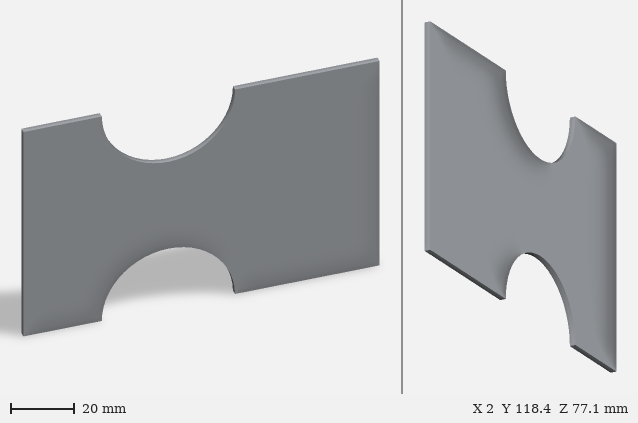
import cadquery as cq

thickness = 2.0
length = 118.4
end_height = 76.9

end_step = 0.2

notch_radius = 22.1
notch_center_y = -11.0
notch_center_z = end_height / 2


def end_block(y_start, y_end, center_z):
    """Rectangular plate section between two Y positions."""
    return cq.Workplane("XY").box(thickness, y_end - y_start, end_height).translate(
        (0, (y_start + y_end) / 2, center_z)
    )


def notch(center_z):
    """Disc that cuts a round notch through the plate thickness."""
    return (
        cq.Workplane("YZ")
        .center(notch_center_y, center_z)
        .circle(notch_radius)
        .extrude(thickness, both=True)
    )


high_end = end_block(notch_center_y, length / 2, end_step / 2)
low_end = end_block(-length / 2, notch_center_y, -end_step / 2)
plate = high_end.union(low_end)

for side in (-1, 1):
    plate = plate.cut(notch(side * notch_center_z))

result = plate